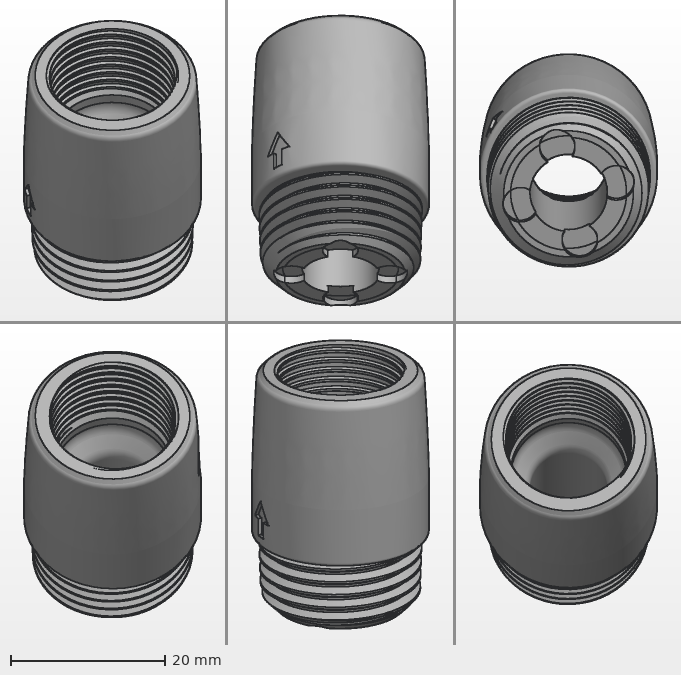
import cadquery as cq
import math

TOTAL_HEIGHT = 32.8
HOUSING_RADIUS = 23.0 / 2
SHOULDER_Z = 10.0
SHOULDER_FILLET = 0.5
TAPER_START_Z = 18.0
TAPER_END_Z = 31.63
TAPER_END_RADIUS = 10.93
TAPER_BULGE = 0.05
RIM_RADIUS = 10.0
RIM_CHAMFER = 0.5

TAPER_PER_LENGTH = 1 / 32
FLANK_HALF_ANGLE = 27.5
THREAD_ROOT_OVERLAP = 0.1
CORE_OVERRUN = 6.55

MALE_PITCH = 18.15 / 10
MALE_DEPTH = 1.15
MALE_CREST_WIDTH = MALE_PITCH / 6
MALE_CREST_RADIUS = 10.3
MALE_CREST_Z = 0.25
MALE_END_RADIUS = 8.4

FEMALE_PITCH = 10.7 / 8
FEMALE_DEPTH = 0.4
FEMALE_CREST_WIDTH = 0.33
FEMALE_CREST_RADIUS = 8.17
FEMALE_CREST_Z = 30.12

SEAT_RADIUS = 7.5
THREAD_END_Z = 21.72
PASSAGE_RADIUS = 10.0 / 2
FUNNEL_FILLET = 2.0
SLEEVE_TOP_Z = 20.35

SCALLOP_COUNT = 4
SCALLOP_START_ANGLE = 45
SCALLOP_RADIUS = 2.3
SCALLOP_CENTRE_RADIUS = 6.35
SCALLOP_DEPTH = 1.0

ARROW_TIP_Z = 16.55
ARROW_HEAD_Z = 13.78
ARROW_FOOT_Z = 11.48
ARROW_HEAD_HALF_WIDTH = 1.97
ARROW_STEM_HALF_WIDTH = 0.75
ARROW_DEPTH = 0.5

COS_45 = math.cos(math.radians(45))


def revolve(profile):
    """Full turn about Z of a closed profile drawn in the XZ plane."""
    return profile.close().revolve(360, (0, 0, 0), (0, 1, 0))


def cylinder(radius, bottom, top):
    """Round bar about Z between two heights."""
    return cq.Workplane("XY").workplane(offset=bottom).circle(radius).extrude(top - bottom)


def thread_ridge(pitch, turns, start_z, crest_radius, crest_width, depth, outward):
    """Tapered helical ridge whose crest starts on the +X side at start_z.

    outward is 1 for a ridge on a shaft and -1 for a ridge in a bore.
    """
    half_crest = crest_width / 2
    full_depth = depth + THREAD_ROOT_OVERLAP
    half_base = half_crest + full_depth * math.tan(math.radians(FLANK_HALF_ANGLE))
    base_radius = crest_radius - outward * full_depth
    section = (
        cq.Workplane("XZ")
        .moveTo(base_radius, start_z - half_base)
        .lineTo(crest_radius, start_z - half_crest)
        .lineTo(crest_radius, start_z + half_crest)
        .lineTo(base_radius, start_z + half_base)
        .close()
    )
    taper_angle = math.degrees(math.atan(TAPER_PER_LENGTH))
    spine = cq.Wire.makeHelix(
        pitch, turns * pitch, crest_radius, center=cq.Vector(0, 0, start_z), angle=taper_angle
    )
    return section.sweep(cq.Workplane(obj=spine), isFrenet=True)


def tapered_core(radius_at_zero):
    """Cone of the thread taper, reaching past both ends of every thread ridge."""
    bottom = -CORE_OVERRUN
    top = TOTAL_HEIGHT + CORE_OVERRUN
    return revolve(
        cq.Workplane("XZ")
        .moveTo(0, bottom)
        .lineTo(radius_at_zero + bottom * TAPER_PER_LENGTH, bottom)
        .lineTo(radius_at_zero + top * TAPER_PER_LENGTH, top)
        .lineTo(0, top)
    )


def outer_wall():
    """Wide upper housing with its bowed taper, rim chamfer and rounded edges."""
    middle_radius = (HOUSING_RADIUS + TAPER_END_RADIUS) / 2 + TAPER_BULGE
    chamfer_foot = (RIM_RADIUS + RIM_CHAMFER, TOTAL_HEIGHT - RIM_CHAMFER)
    middle_z = (TAPER_START_Z + TAPER_END_Z) / 2
    profile = (
        cq.Workplane("XZ")
        .moveTo(0, SHOULDER_Z)
        .lineTo(HOUSING_RADIUS - SHOULDER_FILLET, SHOULDER_Z)
        .radiusArc((HOUSING_RADIUS, SHOULDER_Z + SHOULDER_FILLET), -SHOULDER_FILLET)
        .lineTo(HOUSING_RADIUS, TAPER_START_Z)
        .threePointArc((middle_radius, middle_z), (TAPER_END_RADIUS, TAPER_END_Z))
        .tangentArcPoint(chamfer_foot, relative=False)
        .lineTo(RIM_RADIUS, TOTAL_HEIGHT)
        .lineTo(0, TOTAL_HEIGHT)
    )
    return revolve(profile)


def male_end():
    """Threaded spigot below the shoulder, trimmed by the lead chamfer."""
    start_z = MALE_CREST_Z - MALE_PITCH
    turns = math.ceil((SHOULDER_Z - start_z) / MALE_PITCH) + 1
    start_radius = MALE_CREST_RADIUS + start_z * TAPER_PER_LENGTH
    ridge = thread_ridge(
        MALE_PITCH, turns, start_z, start_radius, MALE_CREST_WIDTH, MALE_DEPTH, outward=1
    )
    core = tapered_core(MALE_CREST_RADIUS - MALE_DEPTH)
    chamfer_height = HOUSING_RADIUS - MALE_END_RADIUS
    envelope = revolve(
        cq.Workplane("XZ")
        .lineTo(MALE_END_RADIUS, 0)
        .lineTo(HOUSING_RADIUS, chamfer_height)
        .lineTo(HOUSING_RADIUS, SHOULDER_Z)
        .lineTo(0, SHOULDER_Z)
    )
    return core.union(ridge).intersect(envelope)


def female_bore():
    """Cavity of the tapered internal thread with the cone at its foot."""
    turns_below = math.ceil((FEMALE_CREST_Z - THREAD_END_Z) / FEMALE_PITCH)
    turns_above = math.ceil((TOTAL_HEIGHT - FEMALE_CREST_Z) / FEMALE_PITCH) + 1
    start_z = FEMALE_CREST_Z - turns_below * FEMALE_PITCH
    start_radius = FEMALE_CREST_RADIUS - (TOTAL_HEIGHT - start_z) * TAPER_PER_LENGTH
    ridge = thread_ridge(
        FEMALE_PITCH, turns_below + turns_above, start_z, start_radius,
        FEMALE_CREST_WIDTH, FEMALE_DEPTH, outward=-1,
    )
    root_at_top = FEMALE_CREST_RADIUS + FEMALE_DEPTH
    core = tapered_core(root_at_top - TOTAL_HEIGHT * TAPER_PER_LENGTH)
    cone_height = HOUSING_RADIUS - SEAT_RADIUS
    envelope = revolve(
        cq.Workplane("XZ")
        .moveTo(0, THREAD_END_Z)
        .lineTo(SEAT_RADIUS, THREAD_END_Z)
        .lineTo(HOUSING_RADIUS, THREAD_END_Z + cone_height)
        .lineTo(HOUSING_RADIUS, TOTAL_HEIGHT)
        .lineTo(0, TOTAL_HEIGHT)
    )
    return core.cut(ridge).intersect(envelope)


def flow_arrow():
    """Arrow pocket with a floor that follows the round wall."""
    outline = [
        (0, ARROW_TIP_Z),
        (ARROW_HEAD_HALF_WIDTH, ARROW_HEAD_Z),
        (ARROW_STEM_HALF_WIDTH, ARROW_HEAD_Z),
        (ARROW_STEM_HALF_WIDTH, ARROW_FOOT_Z),
        (-ARROW_STEM_HALF_WIDTH, ARROW_FOOT_Z),
        (-ARROW_STEM_HALF_WIDTH, ARROW_HEAD_Z),
        (-ARROW_HEAD_HALF_WIDTH, ARROW_HEAD_Z),
    ]
    prism = cq.Workplane("XZ").polyline(outline).close().extrude(2 * HOUSING_RADIUS)
    return prism.cut(cylinder(HOUSING_RADIUS - ARROW_DEPTH, SHOULDER_Z, TAPER_START_Z))


def scallops():
    """Round pockets in the bottom end, on the diagonals between X and Y."""
    return (
        cq.Workplane("XY")
        .polarArray(SCALLOP_CENTRE_RADIUS, SCALLOP_START_ANGLE, 360, SCALLOP_COUNT)
        .circle(SCALLOP_RADIUS)
        .extrude(SCALLOP_DEPTH)
    )


def make_housing():
    """Threaded fitting with a seat for the sleeve."""
    body = outer_wall().union(male_end())
    body = body.cut(female_bore())
    body = body.cut(cylinder(SEAT_RADIUS, 0, THREAD_END_Z))
    return body.cut(flow_arrow()).cut(scallops()).solids()


def make_sleeve():
    """Liner in the lower bore with a rounded 45 degree funnel at its top."""
    fillet_width = FUNNEL_FILLET * (1 - COS_45)
    fillet_height = FUNNEL_FILLET * COS_45
    cone_outer = SEAT_RADIUS - fillet_width
    cone_inner = PASSAGE_RADIUS + fillet_width
    cone_top_z = SLEEVE_TOP_Z - fillet_height
    cone_foot_z = cone_top_z - (cone_outer - cone_inner)
    throat_z = cone_foot_z - fillet_height
    profile = (
        cq.Workplane("XZ")
        .moveTo(PASSAGE_RADIUS, 0)
        .lineTo(SEAT_RADIUS, 0)
        .lineTo(SEAT_RADIUS, SLEEVE_TOP_Z)
        .radiusArc((cone_outer, cone_top_z), FUNNEL_FILLET)
        .lineTo(cone_inner, cone_foot_z)
        .radiusArc((PASSAGE_RADIUS, throat_z), -FUNNEL_FILLET)
    )
    return revolve(profile).cut(scallops()).solids()


housing = make_housing()
sleeve = make_sleeve()

result = cq.Compound.makeCompound([housing.val(), sleeve.val()])